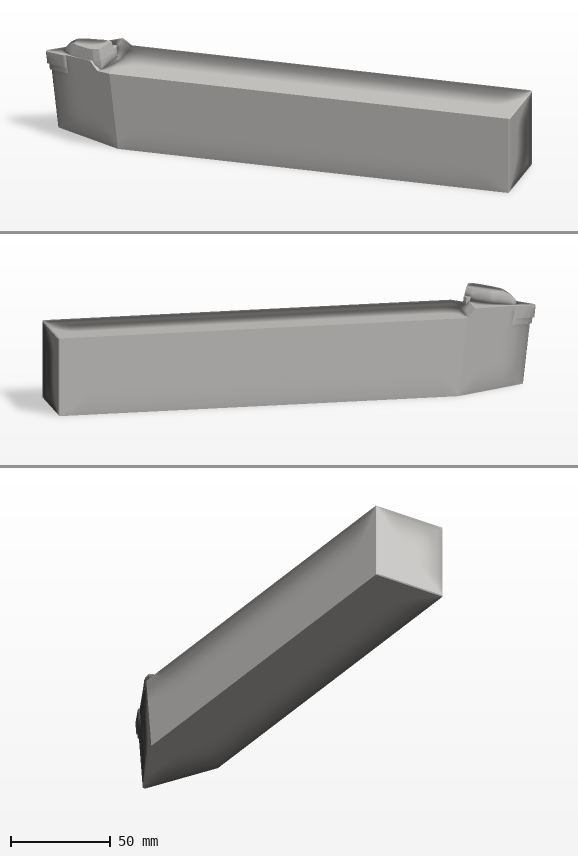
import cadquery as cq
import math

length = 249.0
shank_size = 40.0
rear_chamfer = 0.5

tilt = math.radians(6.5)
tip_height = 40.3
head_end = 39.0
flank_angle = math.radians(27.5)
flank_slope = math.tan(flank_angle)
flank_apex = 0.5
head_nose_radius = 1.2
ramp_angle = math.radians(45.0)

head_end_height = tip_height + head_end * math.tan(tilt)
floor_depth = (head_end_height - shank_size) * math.cos(tilt)

ramp_foot_outer = (31.6, -16.2)
ramp_foot_inner = (head_end / math.cos(tilt) - floor_depth * math.tan(tilt), -0.2)

insert_thickness = 6.5
insert_half_width = 6.7
insert_nose_radius = 1.2
insert_corner_radius = 2.2

shim_setback = 1.0
shim_corner_radius = 3.2
shim_thickness = 3.2

clamp_height = 6.0
clamp_foot_nose = (10.0, 0.7)
clamp_foot = [
    (10.7, -2.0),
    (15.2, -6.7),
    (23.2, -11.7),
    (29.5, -14.2),
    (33.1, -14.0),
    (36.9, -2.2),
    (33.9, -0.2),
    (23.7, 3.2),
    (12.0, 3.5),
]
clamp_crown_nose = (11.5, 0.5)
clamp_crown = [
    (12.2, -0.7),
    (20.5, -8.5),
    (26.7, -12.5),
    (29.5, -13.5),
    (32.6, -13.5),
    (36.0, -2.5),
    (33.4, -0.5),
    (23.7, 1.2),
    (12.2, 1.7),
]

brow_start = (10.0, 1.0)
brow_middle = (13.5, 4.2)
brow_end = (17.5, clamp_height)

tail_height = 2.0
tail_outline = [(33.1, -1.2), (34.5, 3.2), (36.5, 3.2), (37.4, 0), (36.5, -2.2)]

upright = cq.Vector(-math.sin(tilt), 0, math.cos(tilt))
backward = cq.Vector(math.cos(tilt), 0, math.sin(tilt))
upright_edges = cq.selectors.ParallelDirSelector(upright)


def head_plane(height):
    """Workplane parallel to the sloping top face, `height` above it."""
    origin = cq.Vector(0, 0, tip_height) + upright * height
    return cq.Workplane(cq.Plane(origin=origin, xDir=backward, normal=upright))


def diamond(setback, top, thickness, corner_radius):
    """55 degree diamond with rounded corners and its front tip at u = `setback`."""
    sharp_tip = setback - insert_nose_radius * (1 / math.sin(flank_angle) - 1)
    half_length = insert_half_width / flank_slope
    center = sharp_tip + half_length
    outline = [
        (sharp_tip, 0),
        (center, -insert_half_width),
        (center + half_length, 0),
        (center, insert_half_width),
    ]
    body = head_plane(top).polyline(outline).close().extrude(-thickness)
    body = body.edges(upright_edges).edges("<X or >X").fillet(insert_nose_radius)
    return body.edges(upright_edges).edges("<Y or >Y").fillet(corner_radius)


def build_wedge():
    """Upright wedge, in the head frame, whose two flanks meet in a rounded nose."""
    half_width = flank_slope * (length - flank_apex)
    outline = [(flank_apex, 0), (length, -half_width), (length, half_width)]
    wedge = head_plane(0).polyline(outline).close().extrude(length, both=True)
    return wedge.edges(upright_edges).edges("<X").fillet(head_nose_radius)


def build_bar():
    """Square shank with the wedge-shaped head and its ramp down to the shank top."""
    ramp_run = (head_end_height - shank_size) / (math.tan(ramp_angle) + math.tan(tilt))
    ramp_start = head_end - ramp_run
    side_outline = [
        (0, 0),
        (length, 0),
        (length, shank_size),
        (head_end, shank_size),
        (ramp_start, tip_height + ramp_start * math.tan(tilt)),
        (0, tip_height),
    ]
    bar = cq.Workplane("XZ").polyline(side_outline).close().extrude(shank_size / 2, both=True)
    return bar.intersect(build_wedge()).faces(">X").chamfer(rear_chamfer)


def build_pocket():
    """Space behind the clamp: a floor parallel to the top face and a slanted ramp up from it."""
    floor = head_plane(-floor_depth).plane
    inner = floor.toWorldCoords(ramp_foot_inner)
    outer = floor.toWorldCoords(ramp_foot_outer)
    along = outer - inner
    section = cq.Workplane(cq.Plane(origin=inner, xDir=upright.cross(along), normal=along))
    reach = shank_size
    ramp_reach = reach / math.tan(ramp_angle)
    return section.polyline([(0, 0), (reach, 0), (reach, reach), (-ramp_reach, reach)]).close().extrude(reach)


def clamp_wire(height, corners, nose):
    """Closed outline of straight sides and a round nose, at `height` above the top face."""
    outline = head_plane(height).moveTo(*corners[-1]).threePointArc(nose, corners[0])
    for corner in corners[1:-1]:
        outline = outline.lineTo(*corner)
    return outline.close().val()


def build_clamp():
    """Tapered clamp with a rounded front, standing on the top face and on the pocket floor."""
    foot_wire = clamp_wire(0, clamp_foot, clamp_foot_nose)
    crown_wire = clamp_wire(clamp_height, clamp_crown, clamp_crown_nose)
    clamp = cq.Workplane(cq.Solid.makeLoft([foot_wire, crown_wire], True))

    side_plane = cq.Plane(origin=(0, 0, tip_height), xDir=backward, normal=(0, -1, 0))
    side_envelope = (
        cq.Workplane(side_plane)
        .moveTo(brow_start[0], 0)
        .lineTo(*brow_start)
        .threePointArc(brow_middle, brow_end)
        .lineTo(head_end, clamp_height)
        .lineTo(head_end, 0)
        .close()
        .extrude(shank_size, both=True)
    )
    clamp = clamp.intersect(side_envelope)

    rear_corners = clamp_foot[3:7]
    rear_foot = head_plane(-floor_depth).polyline(rear_corners).close().extrude(floor_depth)
    tail = head_plane(-floor_depth).polyline(tail_outline).close().extrude(floor_depth + tail_height)
    return clamp.union(rear_foot).union(tail)


insert = diamond(0, 0, insert_thickness, insert_corner_radius)
shim = diamond(shim_setback, -insert_thickness, shim_thickness, shim_corner_radius)
holder = build_bar().cut(build_pocket()).union(shim).union(build_clamp()).cut(insert)

result = cq.Compound.makeCompound([holder.val(), insert.val()])